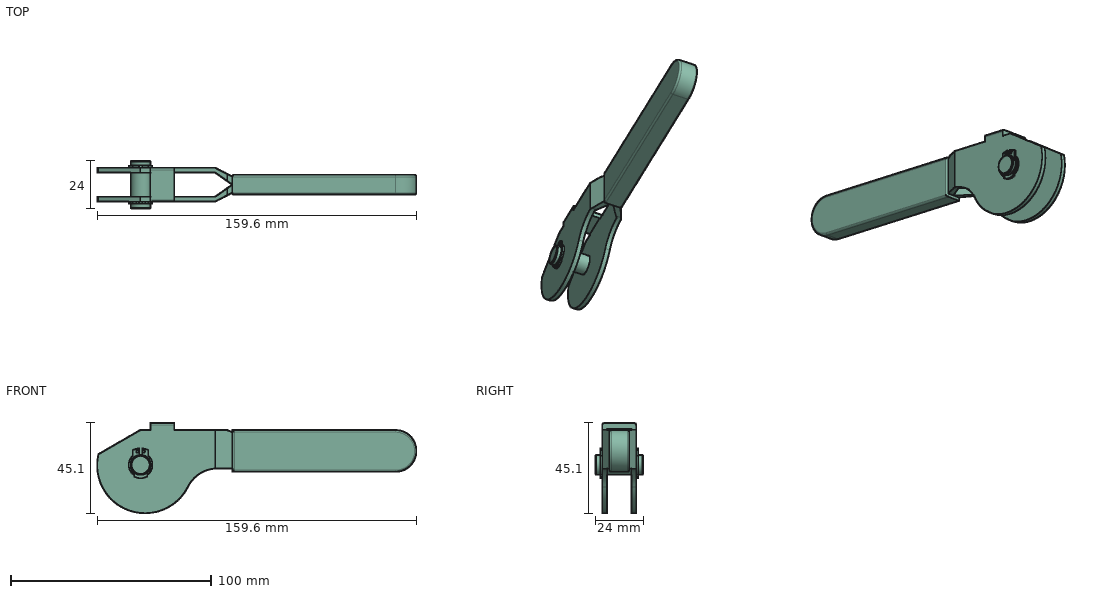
import cadquery as cq
import math


overall_length = 159.57
overall_height = 45.13

fork_width = 17.0
plate_thickness = 2.5
plate_top = 17.45
neck_bottom = -1.8
cam_radius = 24.0
cam_center_x = 2.225
slope_top_x = -0.2
slope_angle = 30.0
neck_fillet_radius = 16.5
bend_x = 37.2
inner_meeting_x = 45.75
neck_outer_half_width = 4.1
neck_chamfer_length = 2.6
neck_chamfer_drop = 1.0

tab_start_x = 4.9
tab_length = 12.0
tab_top = 20.95
tab_thickness = 3.0
tab_fillet = 1.0

grip_start_x = 45.8
grip_top = 17.5
grip_height = 21.0
grip_width = 10.0
grip_fillet = 1.0

pin_radius = 5.0
pin_length = 24.0
pin_chamfer = 0.5
groove_radius = 4.8
groove_width = 1.1
ring_thickness = 1.0
ring_radius = 5.95
heel_radius = 6.65
heel_width = 6.4
lug_radius = 8.35
lug_width = 7.6
lug_gap = 1.5
lug_hole_radius = 0.7
lug_hole_x = 1.5
lug_hole_z = 6.8

cam_center_z = tab_top - overall_height + cam_radius
nose_x = cam_center_x - cam_radius
grip_end_x = nose_x + overall_length
half_fork = fork_width / 2
half_gap = half_fork - plate_thickness


def extrude_across(sketch, y_from, y_to):
    """Extrude an XZ-plane sketch so that it fills the range y_from to y_to."""
    return sketch.extrude(y_from - y_to).translate((0, y_from, 0))


def cam_point(angle):
    """Point on the cam circle, with the angle in radians from +X towards +Z."""
    return (
        cam_center_x + cam_radius * math.cos(angle),
        cam_center_z + cam_radius * math.sin(angle),
    )


def side_profile():
    """Side outline of the lever: sloped nose, round cam, concave throat and straight neck."""
    slope = math.radians(slope_angle)
    rise = plate_top - cam_center_z
    run = cam_center_x - slope_top_x
    line_distance = rise * math.cos(slope) + run * math.sin(slope)
    nose_angle = math.pi / 2 + slope + math.acos(line_distance / cam_radius)

    throat_z = neck_bottom - neck_fillet_radius
    center_distance = cam_radius + neck_fillet_radius
    throat_rise = throat_z - cam_center_z
    throat_x = cam_center_x + math.sqrt(center_distance**2 - throat_rise**2)
    touch_angle = math.asin(throat_rise / center_distance)
    throat_mid_angle = (math.pi / 2 + touch_angle + math.pi) / 2
    throat_mid = (
        throat_x + neck_fillet_radius * math.cos(throat_mid_angle),
        throat_z + neck_fillet_radius * math.sin(throat_mid_angle),
    )
    cam_mid_angle = (nose_angle + touch_angle + 2 * math.pi) / 2

    return (
        cq.Workplane("XZ")
        .moveTo(slope_top_x, plate_top)
        .lineTo(*cam_point(nose_angle))
        .threePointArc(cam_point(cam_mid_angle), cam_point(touch_angle))
        .threePointArc(throat_mid, (throat_x, neck_bottom))
        .lineTo(grip_start_x, neck_bottom)
        .lineTo(grip_start_x, plate_top - neck_chamfer_drop)
        .lineTo(grip_start_x - neck_chamfer_length, plate_top)
        .close()
    )


def fork():
    """Side outline cut to the plan shape of the two bent plates."""
    body = extrude_across(side_profile(), -half_fork, half_fork)
    plate_plan = (
        cq.Workplane("XY")
        .workplane(offset=cam_center_z - cam_radius)
        .moveTo(nose_x, half_gap)
        .lineTo(nose_x, half_fork)
        .lineTo(bend_x, half_fork)
        .lineTo(grip_start_x, neck_outer_half_width)
        .lineTo(grip_start_x, 0)
        .lineTo(inner_meeting_x, 0)
        .lineTo(bend_x, half_gap)
        .close()
        .extrude(overall_height)
    )
    plates = plate_plan.union(plate_plan.mirror("XZ"))
    return body.intersect(plates)


def tab():
    """Bridge over both cheeks, with a leg standing on each of them."""
    height = tab_top - plate_top
    block = (
        cq.Workplane("XY")
        .box(tab_length, fork_width, height, centered=(False, True, False))
        .edges("|X and >Z")
        .fillet(tab_fillet)
    )
    opening = cq.Workplane("XY").box(
        tab_length, 2 * half_gap, height - tab_thickness, centered=(False, True, False)
    )
    return block.cut(opening).translate((tab_start_x, 0, plate_top))


def grip():
    """Flat bar with a half-round end and rounded edges on both broad faces."""
    end_radius = grip_height / 2
    arc_start_x = grip_end_x - end_radius
    outline = (
        cq.Workplane("XZ")
        .moveTo(grip_start_x, grip_top)
        .lineTo(arc_start_x, grip_top)
        .threePointArc((grip_end_x, grip_top - end_radius), (arc_start_x, grip_top - grip_height))
        .lineTo(grip_start_x, grip_top - grip_height)
        .close()
    )
    bar = extrude_across(outline, -grip_width / 2, grip_width / 2)
    return bar.faces("|Y").edges().fillet(grip_fillet)


def pin():
    """Chamfered pin with a ring groove just outside each cheek."""
    half_length = pin_length / 2
    rod = extrude_across(cq.Workplane("XZ").circle(pin_radius), -half_length, half_length)
    rod = rod.faces("|Y").edges().chamfer(pin_chamfer)
    groove = extrude_across(
        cq.Workplane("XZ").circle(pin_radius).circle(groove_radius), half_fork, half_fork + groove_width
    )
    return rod.cut(groove).cut(groove.mirror("XZ"))


def retaining_ring():
    """Open ring with two drilled lugs above the pin and a wider heel below it."""

    def ring_slab(sketch):
        return extrude_across(sketch, half_fork, half_fork + ring_thickness)

    def rounded_strip(radius, width, direction):
        """Part of a disc inside a vertical strip that runs up (1) or down (-1) from the centre."""
        strip = cq.Workplane("XZ").center(0, direction * radius / 2).rect(width, radius)
        return ring_slab(cq.Workplane("XZ").circle(radius)).intersect(ring_slab(strip))

    ring = (
        ring_slab(cq.Workplane("XZ").circle(ring_radius))
        .union(rounded_strip(lug_radius, lug_width, 1))
        .union(rounded_strip(heel_radius, heel_width, -1))
    )
    hole_centers = [(-lug_hole_x, lug_hole_z), (lug_hole_x, lug_hole_z)]
    lug_holes = cq.Workplane("XZ").pushPoints(hole_centers).circle(lug_hole_radius)
    gap = cq.Workplane("XZ").center(0, lug_radius / 2).rect(lug_gap, lug_radius)
    bore = cq.Workplane("XZ").circle(groove_radius)
    for opening in (lug_holes, gap, bore):
        ring = ring.cut(ring_slab(opening))
    return ring


ring = retaining_ring()
result = fork().union(tab()).union(grip()).union(pin()).union(ring).union(ring.mirror("XZ"))